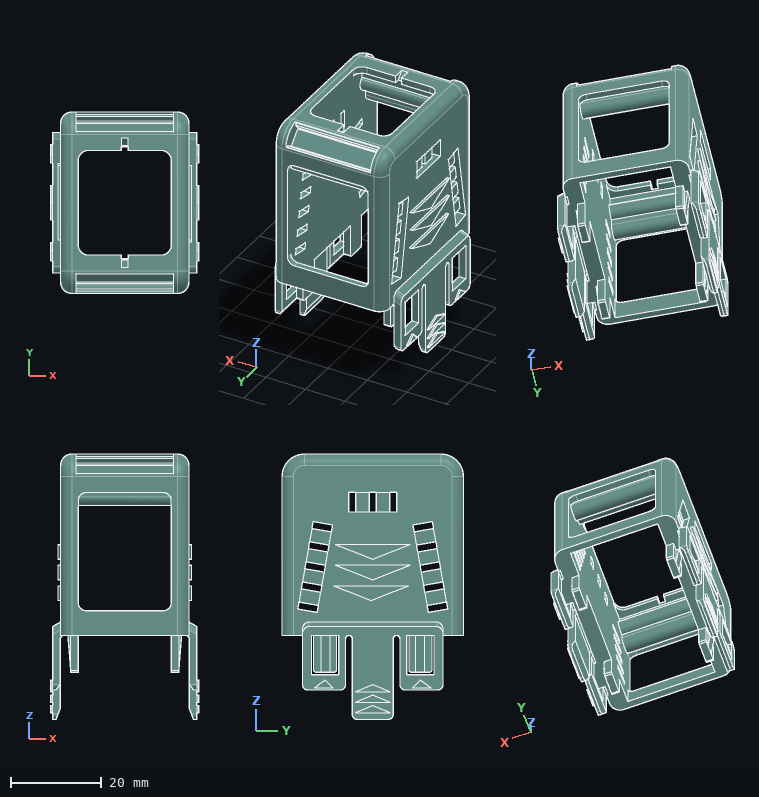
import cadquery as cq
import math

BODY_X = 28.3
BODY_Y = 40.0
BODY_Z = 40.0
TOP_EDGE_R = 5.0
SIDE_EDGE_R = 2.5
END_WALL = 1.5
ROOF = 1.65
CAVITY_X = 20.4
BODY_HALF_X = BODY_X / 2
CAVITY_HALF_X = CAVITY_X / 2
CAVITY_HALF_Y = BODY_Y / 2 - END_WALL
CAVITY_TOP = BODY_Z - ROOF

WINDOW_BOTTOM = 5.5
WINDOW_TOP = 31.5
WINDOW_R = 1.7
ROOF_OPENING_Y = 23.0
ROOF_OPENING_R = 2.2
NOTCH_WIDTH = 1.5
NOTCH_END_Y = 14.3

CORNER_FACE_Y = 13.2
CORNER_ROLL_Y = 14.2
CORNER_ROLL_Z = CORNER_ROLL_Y + BODY_Z - BODY_Y / 2
ROLL_R = 1.9
LIP_INNER_Y = CAVITY_HALF_Y - 2 * ROLL_R
LIP_ROUND_Z = 30.5
POCKET_X = 21.4

SLOT_WIDTH = 1.5
BAR_WIDTH = 3.0
GRILLE_WIDTH = 4.3
RECESS_DEPTH = 1.3
TOP_GRILLE_BARS = 2
TOP_GRILLE_Z = 29.4
SIDE_GRILLE_BARS = 4
SIDE_GRILLE_Y = 12.68
SIDE_GRILLE_Z = 15.1
SIDE_GRILLE_TILT = 10.0

CHEVRON_HALF_WIDTH = 8.25
CHEVRON_DROP = 3.25
CHEVRON_TOP_Z = 20.05
CHEVRON_PITCH = 4.55
CHEVRON_HEIGHT = 0.6
CHEVRON_SHIFTS = (0.0, 0.0, 0.35)

PLATE_OUTER_X = 15.9
PLATE_HALF_Y = 15.5
PLATE_TOP_Z = 3.0
PLATE_SHOULDER_Z = 2.0
PLATE_CORNER_R = 1.5
PLATE_ROOT = 0.45
TIP_THICKNESS = 0.75
TONGUE_BOTTOM_Z = -18.5
TONGUE_BEVEL = 2.5
TONGUE_HALF_Y = 4.55
TAB_BOTTOM_Z = -12.0
TAB_BEVEL = 1.4
TAB_INNER_Y = 5.95
TAB_CORNER_R = 1.2
TAB_CENTRE_Y = 10.5
TAB_WINDOW_Y = 5.95
TAB_WINDOW_Z = 8.6

MARK_HEIGHT = 0.4
TONGUE_MARK_HALF_Y = 3.8
TONGUE_MARK_RISE = 1.6
TONGUE_MARK_BASES = (-12.4, -14.7, -17.0)
TAB_MARK_BASE_Z = -11.55
TAB_MARK_RISE = 1.75
TAB_MARK_INNER_Y = 8.75
TAB_MARK_OUTER_Y = 12.85

LEG_WIDTH = 5.1
LEG_THICKNESS = 1.7
LEG_LENGTH = 8.1
LEG_CHAMFER = 0.4
GUSSET_WIDTH = 2.0
GUSSET_DEPTH = 0.65
GUSSET_Y = 10.4

CLEARANCE = 0.01
EMBED = 0.1


def box_between(x, y, z):
    """Box from three (low, high) ranges."""
    size = [high - low for low, high in (x, y, z)]
    return cq.Workplane("XY").box(*size, centered=False).translate((x[0], y[0], z[0]))


def extrude_along_x(points, x_low, x_high):
    """Prism on a (Y, Z) outline."""
    return cq.Workplane("YZ").workplane(offset=x_low).polyline(points).close().extrude(x_high - x_low)


def on_both_ends(feature):
    """The feature and its mirror image at the other Y end."""
    return feature.union(feature.mirror("XZ"))


def make_shell():
    body = cq.Workplane("XY").box(BODY_X, BODY_Y, BODY_Z, centered=(True, True, False))
    body = body.edges("|X and >Z").fillet(TOP_EDGE_R)
    body = body.faces("<X or >X").edges("not <Z").fillet(SIDE_EDGE_R)
    cavity = box_between(
        (-CAVITY_HALF_X, CAVITY_HALF_X), (-CAVITY_HALF_Y, CAVITY_HALF_Y), (0, CAVITY_TOP)
    )
    return body.cut(cavity)


def make_corner():
    """Thickening inside the +Y top corner, ending in a rounded lip behind the window top."""
    diagonal = ROLL_R * math.sqrt(0.5)
    tangent_y = CORNER_ROLL_Y - diagonal
    tangent_z = CORNER_ROLL_Z + diagonal
    roll_end_z = CORNER_ROLL_Z - math.sqrt(ROLL_R**2 - (LIP_INNER_Y - CORNER_ROLL_Y) ** 2)
    outer_y = CAVITY_HALF_Y + EMBED
    profile = (
        cq.Workplane("YZ")
        .workplane(offset=-CAVITY_HALF_X - EMBED)
        .moveTo(CORNER_FACE_Y, CAVITY_TOP + EMBED)
        .lineTo(CORNER_FACE_Y, tangent_z + CORNER_FACE_Y - tangent_y)
        .lineTo(tangent_y, tangent_z)
        .threePointArc((tangent_y, CORNER_ROLL_Z - diagonal), (LIP_INNER_Y, roll_end_z))
        .lineTo(LIP_INNER_Y, LIP_ROUND_Z)
        .threePointArc(
            (LIP_INNER_Y + ROLL_R, LIP_ROUND_Z - ROLL_R), (CAVITY_HALF_Y, LIP_ROUND_Z)
        )
        .lineTo(CAVITY_HALF_Y, WINDOW_TOP)
        .lineTo(outer_y, WINDOW_TOP)
        .lineTo(outer_y, CAVITY_TOP + EMBED)
        .close()
    )
    return profile.extrude(CAVITY_X + 2 * EMBED)


def make_corner_pocket():
    """Stepped pocket in the +Y rounded edge, symmetric about the 45 degree plane of the edge."""
    upper = [
        (16.75, 40.95),
        (15.2, 39.4),
        (15.6, 39.0),
        (14.9, 38.1),
        (14.6, 37.8),
        (14.6, 37.5),
    ]
    rise = BODY_Z - BODY_Y / 2
    lower = [(z - rise, y + rise) for y, z in reversed(upper)]
    return extrude_along_x(upper + lower, -POCKET_X / 2, POCKET_X / 2)


def make_windows():
    height = WINDOW_TOP - WINDOW_BOTTOM
    end_windows = on_both_ends(
        cq.Workplane("XY")
        .box(CAVITY_X, 2 * END_WALL, height, centered=(True, True, False))
        .edges("|Y")
        .fillet(WINDOW_R)
        .translate((0, BODY_Y / 2, WINDOW_BOTTOM))
    )
    roof_window = (
        cq.Workplane("XY")
        .box(CAVITY_X, ROOF_OPENING_Y, 2 * ROOF)
        .edges("|Z")
        .fillet(ROOF_OPENING_R)
        .translate((0, 0, BODY_Z))
    )
    return end_windows.union(roof_window)


def make_notch():
    """Notch in the roof opening with a floor falling inwards at 45 degrees."""
    drop = NOTCH_END_Y - ROOF_OPENING_Y / 2 + EMBED
    points = [
        (NOTCH_END_Y, BODY_Z),
        (NOTCH_END_Y - drop, BODY_Z),
        (NOTCH_END_Y - drop, BODY_Z - drop),
    ]
    return extrude_along_x(points, -NOTCH_WIDTH / 2, NOTCH_WIDTH / 2)


def make_grille_cut(bars):
    """Grille running along Y in the -X wall, centred on Y = Z = 0."""
    pitch = SLOT_WIDTH + BAR_WIDTH
    length = bars * pitch + SLOT_WIDTH
    half_width = GRILLE_WIDTH / 2
    cut = box_between(
        (-BODY_HALF_X, -BODY_HALF_X + RECESS_DEPTH),
        (-length / 2, length / 2),
        (-half_width, half_width),
    )
    for index in range(bars + 1):
        start = index * pitch - length / 2
        slot = box_between(
            (-BODY_HALF_X, -CAVITY_HALF_X), (start, start + SLOT_WIDTH), (-half_width, half_width)
        )
        cut = cut.union(slot)
    return cut


def make_side_cuts():
    """All three grilles of the -X wall."""
    tilted = make_grille_cut(SIDE_GRILLE_BARS).rotate((0, 0, 0), (1, 0, 0), 90 + SIDE_GRILLE_TILT)
    side_grilles = on_both_ends(tilted.translate((0, SIDE_GRILLE_Y, SIDE_GRILLE_Z)))
    top_grille = make_grille_cut(TOP_GRILLE_BARS).translate((0, 0, TOP_GRILLE_Z))
    return side_grilles.union(top_grille)


def make_chevrons():
    chevrons = cq.Workplane("XY")
    for index, shift in enumerate(CHEVRON_SHIFTS):
        top = CHEVRON_TOP_Z - index * CHEVRON_PITCH
        points = [
            (shift - CHEVRON_HALF_WIDTH, top),
            (shift + CHEVRON_HALF_WIDTH, top),
            (shift, top - CHEVRON_DROP),
        ]
        chevron = extrude_along_x(points, -BODY_HALF_X - CHEVRON_HEIGHT, -BODY_HALF_X + EMBED)
        chevrons = chevrons.add(chevron)
    return chevrons.combine()


def make_plate_strip(y_low, y_high, bottom, bevel):
    """Strip of clip plate with a bevelled tip, sloping top and bevelled root."""
    inner = -BODY_HALF_X
    points = [
        (inner, PLATE_TOP_Z),
        (-PLATE_OUTER_X, PLATE_SHOULDER_Z),
        (-PLATE_OUTER_X, bottom),
        (-PLATE_OUTER_X + TIP_THICKNESS, bottom),
        (inner, bottom + bevel),
        (inner, -PLATE_ROOT),
        (inner + PLATE_ROOT, 0),
        (inner + PLATE_ROOT, PLATE_SHOULDER_Z),
        (inner, PLATE_SHOULDER_Z),
    ]
    strip = cq.Workplane("XZ").polyline(points).close().extrude(y_low - y_high)
    return strip.translate((0, y_low, 0))


def round_bottom(y_low, y_high, bottom, radius):
    """Column along X whose two lower corners are rounded, used to trim a plate strip."""
    column = box_between((-BODY_X, 0), (y_low, y_high), (bottom, BODY_Z))
    return column.edges("|X and <Z").fillet(radius)


def make_plate():
    tongue = make_plate_strip(-TONGUE_HALF_Y, TONGUE_HALF_Y, TONGUE_BOTTOM_Z, TONGUE_BEVEL)
    tongue = tongue.intersect(
        round_bottom(-TONGUE_HALF_Y, TONGUE_HALF_Y, TONGUE_BOTTOM_Z, TAB_CORNER_R)
    )
    tab = make_plate_strip(TAB_INNER_Y, PLATE_HALF_Y, TAB_BOTTOM_Z, TAB_BEVEL)
    tab = tab.intersect(round_bottom(TAB_INNER_Y, PLATE_HALF_Y, TAB_BOTTOM_Z, TAB_CORNER_R))
    tab = tab.cut(
        box_between(
            (-BODY_X, 0),
            (TAB_CENTRE_Y - TAB_WINDOW_Y / 2, TAB_CENTRE_Y + TAB_WINDOW_Y / 2),
            (-TAB_WINDOW_Z, 0),
        )
    )
    corner = cq.selectors.BoxSelector(
        (-BODY_X, PLATE_HALF_Y - EMBED, PLATE_SHOULDER_Z + EMBED),
        (-BODY_HALF_X, PLATE_HALF_Y + EMBED, PLATE_TOP_Z - EMBED),
    )
    tab = tab.edges(corner).fillet(PLATE_CORNER_R)
    gap_width = TAB_INNER_Y - TONGUE_HALF_Y
    bridge = make_plate_strip(TONGUE_HALF_Y, TAB_INNER_Y, -gap_width, 0)
    gap = box_between((-BODY_X, 0), (TONGUE_HALF_Y, TAB_INNER_Y), (-BODY_Z, 0))
    gap = gap.edges("|X and >Z").fillet(gap_width / 2 - CLEARANCE)
    bridge = bridge.cut(gap)
    return tongue.union(on_both_ends(tab.union(bridge)))


def make_marks():
    """Raised triangles near the tips of the tongue and the tabs."""
    x_low = -PLATE_OUTER_X - MARK_HEIGHT
    x_high = -PLATE_OUTER_X + EMBED
    tab_points = [
        (TAB_MARK_INNER_Y, TAB_MARK_BASE_Z),
        (TAB_MARK_OUTER_Y, TAB_MARK_BASE_Z),
        (TAB_CENTRE_Y, TAB_MARK_BASE_Z + TAB_MARK_RISE),
    ]
    marks = on_both_ends(extrude_along_x(tab_points, x_low, x_high))
    for base in TONGUE_MARK_BASES:
        points = [
            (-TONGUE_MARK_HALF_Y, base),
            (TONGUE_MARK_HALF_Y, base),
            (0, base + TONGUE_MARK_RISE),
        ]
        marks = marks.union(extrude_along_x(points, x_low, x_high))
    return marks


def make_leg():
    """Leg under the -X wall with a tapering gusset on its outer face."""
    leg_outer = -CAVITY_HALF_X - LEG_THICKNESS
    leg = box_between(
        (leg_outer, -CAVITY_HALF_X),
        (TAB_CENTRE_Y - LEG_WIDTH / 2, TAB_CENTRE_Y + LEG_WIDTH / 2),
        (-LEG_LENGTH, EMBED),
    )
    leg = leg.edges("|X and <Z").chamfer(LEG_CHAMFER)
    gusset_points = [
        (leg_outer, -LEG_LENGTH),
        (leg_outer, EMBED),
        (leg_outer - GUSSET_DEPTH, EMBED),
        (leg_outer - GUSSET_DEPTH, 0),
    ]
    gusset = cq.Workplane("XZ").polyline(gusset_points).close().extrude(GUSSET_WIDTH / 2, both=True)
    return leg.union(gusset.translate((0, GUSSET_Y, 0)))


def make_side_additions():
    """Everything that is added to the -X wall."""
    return make_chevrons().union(make_plate()).union(make_marks()).union(on_both_ends(make_leg()))


def on_both_sides(feature):
    """The feature and its copy turned half a turn about Z."""
    return feature.union(feature.rotate((0, 0, 0), (0, 0, 1), 180))


result = make_shell().union(on_both_ends(make_corner()))
result = result.cut(make_windows())
result = result.cut(on_both_ends(make_corner_pocket()))
result = result.cut(on_both_ends(make_notch()))
result = result.cut(on_both_sides(make_side_cuts()))
result = result.union(on_both_sides(make_side_additions()))